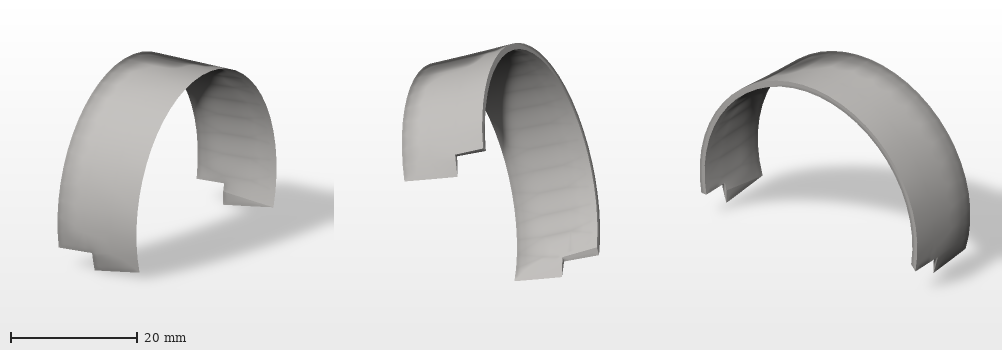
import cadquery as cq
import math

length = 14.3
outer_front_radius = 21.85
back_edge_radius = 21.35
inner_front_radius = 20.85

channel_half_width = 20.4

plus_y_notch_depth = 5.0
plus_y_notch_height = -3.95
minus_y_notch_depth = 6.05
minus_y_notch_outer_height = -4.2
minus_y_notch_angle = 50.0

clearance = 4.37
reach = outer_front_radius + clearance


def make_band():
    """Conical shell turned about the X axis."""
    profile = [
        (0, inner_front_radius),
        (0, outer_front_radius),
        (length, back_edge_radius),
    ]
    return cq.Workplane("XY").polyline(profile).close().revolve(360, (0, 0, 0), (1, 0, 0))


def make_channel():
    """Slot below the axis that leaves a pointed tip on each leg."""
    return (
        cq.Workplane("XY")
        .box(length + 2 * clearance, 2 * channel_half_width, reach, centered=(False, True, False))
        .translate((-clearance, 0, -reach))
    )


def make_notch(outline, depth):
    """Cutter with a YZ outline, reaching the given depth behind the front face."""
    return cq.Workplane("YZ", origin=(-clearance, 0, 0)).polyline(outline).close().extrude(depth + clearance)


plus_y_outline = [
    (0, plus_y_notch_height),
    (reach, plus_y_notch_height),
    (reach, -reach),
    (0, -reach),
]

taper_angle = math.degrees(math.atan((outer_front_radius - back_edge_radius) / length))
slope = math.tan(math.radians(minus_y_notch_angle))
outer_corner_y = -math.sqrt(outer_front_radius**2 - minus_y_notch_outer_height**2)
slope_start_y = outer_corner_y - clearance
slope_end_y = outer_corner_y + clearance
minus_y_outline = [
    (slope_start_y, minus_y_notch_outer_height - clearance * slope),
    (slope_end_y, minus_y_notch_outer_height + clearance * slope),
    (slope_end_y, -reach),
    (slope_start_y, -reach),
]
minus_y_notch = make_notch(minus_y_outline, minus_y_notch_depth).rotate(
    (0, outer_corner_y, 0), (0, outer_corner_y, 1), taper_angle
)

result = (
    make_band()
    .cut(make_channel())
    .cut(make_notch(plus_y_outline, plus_y_notch_depth))
    .cut(minus_y_notch)
)

result = cq.Workplane("XY").newObject([result.solids(">Z").val()])